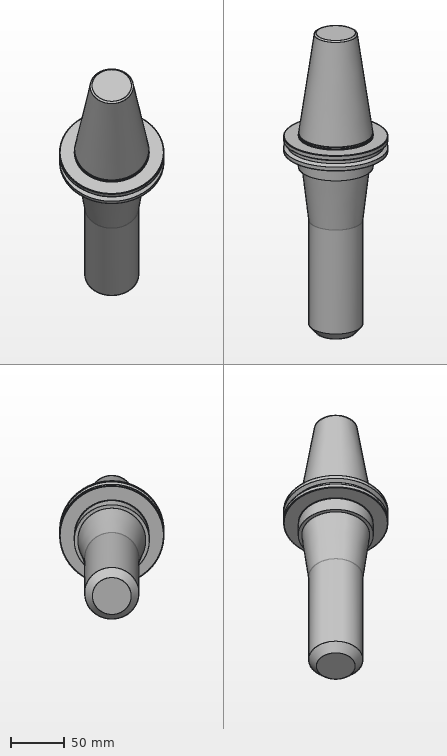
import cadquery as cq

total_height = 304.8

gauge_z = 203.0
gauge_radius = 35.0
taper_slope = 7 / 48
tip_chamfer_height = 1.2
tip_chamfer_width = 1.8

relief_depth = 0.5
relief_height = 1.0

flange_radius = 98.5 / 2
flange_top_z = 200.0
flange_bottom_z = 184.0
flange_chamfer = 0.5
groove_floor_radius = 91.5 / 2
groove_center_z = 192.0
groove_floor_width = 3.0
groove_mouth_width = 7.3

collar_radius = 35.5
collar_bottom_z = 168.5
neck_top_radius = 32.0
neck_bottom_z = 114.3
shank_radius = 25.5
end_chamfer_height = 8.2
end_chamfer_width = 7.3

taper_end_z = total_height - tip_chamfer_height
taper_end_radius = gauge_radius - (taper_end_z - gauge_z) * taper_slope

shank_points = [
    (0, 0),
    (shank_radius - end_chamfer_width, 0),
    (shank_radius, end_chamfer_height),
    (shank_radius, neck_bottom_z),
    (neck_top_radius, collar_bottom_z),
    (collar_radius, collar_bottom_z),
    (collar_radius, flange_bottom_z - relief_height),
    (collar_radius - relief_depth, flange_bottom_z - relief_height),
    (collar_radius - relief_depth, flange_bottom_z),
]
flange_points = [
    (flange_radius - flange_chamfer, flange_bottom_z),
    (flange_radius, flange_bottom_z + flange_chamfer),
    (flange_radius, groove_center_z - groove_mouth_width / 2),
    (groove_floor_radius, groove_center_z - groove_floor_width / 2),
    (groove_floor_radius, groove_center_z + groove_floor_width / 2),
    (flange_radius, groove_center_z + groove_mouth_width / 2),
    (flange_radius, flange_top_z - flange_chamfer),
    (flange_radius - flange_chamfer, flange_top_z),
]
taper_points = [
    (collar_radius, flange_top_z),
    (collar_radius, flange_top_z + relief_height),
    (gauge_radius - relief_depth, flange_top_z + relief_height),
    (gauge_radius - relief_depth, gauge_z - relief_height),
    (gauge_radius, gauge_z),
    (taper_end_radius, taper_end_z),
    (taper_end_radius - tip_chamfer_width, total_height),
    (0, total_height),
]

profile = cq.Workplane("XZ").polyline(shank_points + flange_points + taper_points).close()
result = profile.revolve(360, (0, 0, 0), (0, 1, 0))